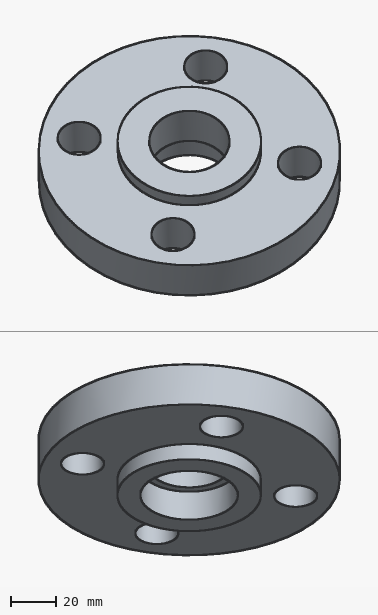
import cadquery as cq

FLANGE_DIAMETER = 133.35
FLANGE_THICKNESS = 20.6
RAISED_FACE_DIAMETER = 63.5
RAISED_FACE_HEIGHT = 6.35
HUB_DIAMETER = 63.5
TOTAL_HEIGHT = 34.8
HUB_HEIGHT = TOTAL_HEIGHT - FLANGE_THICKNESS - RAISED_FACE_HEIGHT

BORE_DIAMETER = 35.5
SOCKET_DIAMETER = 43.2
SOCKET_DEPTH = 14.3

BOLT_COUNT = 4
BOLT_HOLE_DIAMETER = 19.05
BOLT_CIRCLE_DIAMETER = 98.55
FIRST_BOLT_ANGLE = 45


def disc(diameter, height, base_z=0):
    """Solid cylinder on the Z axis, standing on base_z."""
    return cq.Workplane("XY").workplane(offset=base_z).circle(diameter / 2).extrude(height)


def flange_body():
    """Hub, flange plate and raised face stacked along Z."""
    hub = disc(HUB_DIAMETER, HUB_HEIGHT)
    plate = disc(FLANGE_DIAMETER, FLANGE_THICKNESS, HUB_HEIGHT)
    raised_face = disc(RAISED_FACE_DIAMETER, RAISED_FACE_HEIGHT, HUB_HEIGHT + FLANGE_THICKNESS)
    return hub.union(plate).union(raised_face)


def stepped_bore():
    """Through bore with the wider pipe socket opening at the hub end."""
    bore = disc(BORE_DIAMETER, TOTAL_HEIGHT)
    socket = disc(SOCKET_DIAMETER, SOCKET_DEPTH)
    return bore.union(socket)


def bolt_holes():
    """Equally spaced bolt holes, as long as the whole part."""
    return (
        cq.Workplane("XY")
        .polarArray(BOLT_CIRCLE_DIAMETER / 2, FIRST_BOLT_ANGLE, 360, BOLT_COUNT)
        .circle(BOLT_HOLE_DIAMETER / 2)
        .extrude(TOTAL_HEIGHT)
    )


result = flange_body().cut(stepped_bore()).cut(bolt_holes())